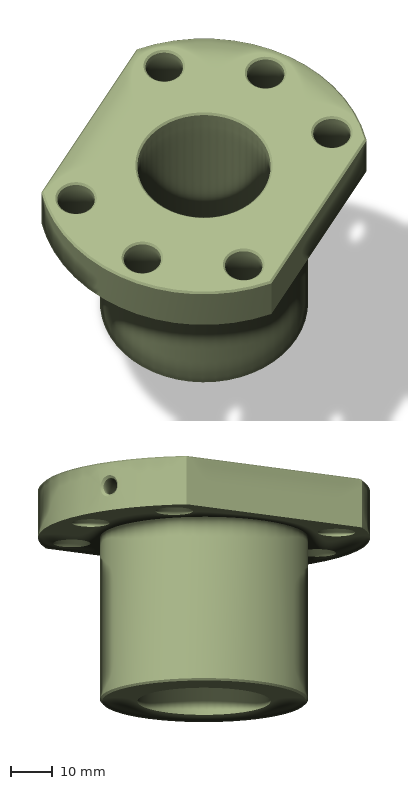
import cadquery as cq
import math

flange_diameter = 79.75
flange_width = 62.0
flange_thickness = 12.0
total_height = 52.0
body_diameter = 50.0
bore_diameter = 32.0
edge_chamfer = 0.5

mount_hole_diameter = 9.0
mount_circle_diameter = 64.75
mount_hole_spacing = 44.3
mount_hole_angles = [
    group_center + step * mount_hole_spacing
    for group_center in (90, 270)
    for step in (-1, 0, 1)
]

port_drill_diameter = 4.0
port_mouth_diameter = 5.2
port_angle = 90 + mount_hole_spacing / 2
port_depth = 15.95

flange_bottom = total_height - flange_thickness
flange_radius = flange_diameter / 2


def make_flange():
    """Round flange with two flats and a chamfered top rim."""
    base = cq.Workplane("XY").workplane(offset=flange_bottom)
    disc = base.circle(flange_radius).extrude(flange_thickness)
    flats = cq.Workplane("XY").box(flange_width, flange_diameter, total_height, centered=(True, True, False))
    return disc.intersect(flats).faces(">Z").edges().chamfer(edge_chamfer)


def make_body():
    """Cylindrical nut body with a chamfered lower rim."""
    body = cq.Workplane("XY").circle(body_diameter / 2).extrude(flange_bottom)
    return body.faces("<Z").edges().chamfer(edge_chamfer)


def cut_vertical_hole(part, diameter, x=0, y=0):
    """Through hole along Z with a chamfered upper mouth."""
    drill = cq.Workplane("XY").center(x, y).circle(diameter / 2).extrude(total_height)
    mouth = (
        cq.Workplane("XY")
        .workplane(offset=total_height - edge_chamfer)
        .center(x, y)
        .circle(diameter / 2)
        .workplane(offset=edge_chamfer)
        .circle(diameter / 2 + edge_chamfer)
        .loft(ruled=True)
    )
    return part.cut(drill).cut(mouth)


def make_oil_port():
    """Blind radial hole in the flange rim with a 45 degree countersink."""
    drill_radius = port_drill_diameter / 2
    mouth_radius = port_mouth_diameter / 2
    mouth_depth = mouth_radius - drill_radius
    angle = math.radians(port_angle)
    direction = cq.Vector(math.cos(angle), math.sin(angle), 0)
    mid_height = cq.Vector(0, 0, flange_bottom + flange_thickness / 2)
    rim_point = mid_height + direction * flange_radius
    inward = direction * -1
    drill = cq.Solid.makeCylinder(drill_radius, port_depth, rim_point, inward)
    mouth = cq.Solid.makeCone(mouth_radius, drill_radius, mouth_depth, rim_point, inward)
    return drill.fuse(mouth)


result = make_flange().union(make_body())
result = cut_vertical_hole(result, bore_diameter)
for angle in mount_hole_angles:
    hole_x = mount_circle_diameter / 2 * math.cos(math.radians(angle))
    hole_y = mount_circle_diameter / 2 * math.sin(math.radians(angle))
    result = cut_vertical_hole(result, mount_hole_diameter, hole_x, hole_y)
result = result.cut(cq.Workplane(obj=make_oil_port()))